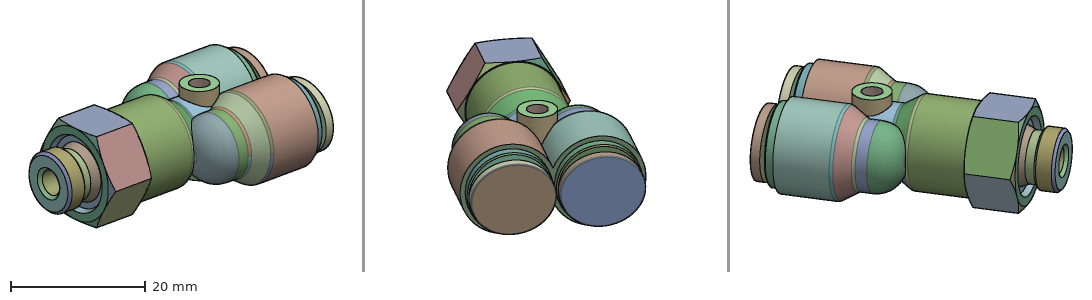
import cadquery as cq
import math


HEAD_DIA = 9.7
HEAD_CHAMFER = 0.45
HEAD_BACK_CHAMFER = 0.35
NECK_START_Y = 3.25
NECK_DIA = 8.2
FLARE_START_Y = 4.8
FLARE_DIA = 9.4
BORE_DIA = 4.0
BORE_CHAMFER = 0.55
HEX_SIDES = 6
HEX_ACROSS_FLATS = 15.0
HEX_FACE_Y = 5.3
HEX_TOP_Y = 13.25
HEX_CORNER_RISE = 0.45
RECESS_DIA = 12.25
RECESS_FLOOR_DIA = 11.45
RECESS_DEPTH = 1.0

BARREL_DIA = 14.7
STEM_DIA = 11.0
CONE_LENGTH = 2.9
CONE_FILLET = 1.0
INLET_CONE_Y = 22.35
PORT_OFFSET = 6.8
PORT_TOP_Y = 40.95
PORT_CONE_Y = 29.0
PORT_STEM_BOTTOM_Y = 22.4
PORT_BOTTOM_ROUND = 4.48
EYE_Y = 29.8
EYE_DIA = 6.0
EYE_HOLE_DIA = 3.2

COLLAR_DIA = 13.15
COLLAR_TOP_Y = 42.55
COLLAR_CHAMFER = 0.22

SLEEVE_NECK_DIA = 7.5
SLEEVE_FLANGE_Y = 43.25
SLEEVE_TOP_Y = 44.75
SLEEVE_FLANGE_WIDTH = 13.0
SLEEVE_FLANGE_HEIGHT = 11.55
SLEEVE_EDGE_ROUND = 0.15


def along_y(x, start_y):
    """Workplane normal to Y at (x, start_y); positive extrusion goes towards +Y."""
    return cq.Workplane(cq.Plane(origin=(x, start_y, 0), xDir=(1, 0, 0), normal=(0, 1, 0)))


def rod(x, start_y, end_y, diameter):
    return along_y(x, start_y).circle(diameter / 2).extrude(end_y - start_y)


def turned(profile):
    """Revolve a closed (radius, y) profile about the Y axis."""
    return cq.Workplane("XY").polyline(profile).close().revolve(360, (0, 0), (0, 1))


def fillet_ring(solid, y, radius):
    """Round the circular edge that is centred on the Y axis at height y."""
    return solid.edges(cq.NearestToPointSelector((0, y, 0))).fillet(radius)


def make_stud():
    """Hexagon with chamfered corners, and a bored spigot rising from a recess in its face."""
    flat_radius = HEX_ACROSS_FLATS / 2
    corner_radius = flat_radius / math.cos(math.pi / HEX_SIDES)
    hexagon = along_y(0, HEX_FACE_Y).polygon(HEX_SIDES, 2 * corner_radius).extrude(HEX_TOP_Y - HEX_FACE_Y)
    corner_cones = turned([
        (0, HEX_FACE_Y),
        (flat_radius, HEX_FACE_Y),
        (corner_radius, HEX_FACE_Y + HEX_CORNER_RISE),
        (corner_radius, HEX_TOP_Y - HEX_CORNER_RISE),
        (flat_radius, HEX_TOP_Y),
        (0, HEX_TOP_Y),
    ])
    recess_floor_y = HEX_FACE_Y + RECESS_DEPTH
    recess = turned([
        (0, HEX_FACE_Y),
        (RECESS_DIA / 2, HEX_FACE_Y),
        (RECESS_FLOOR_DIA / 2, recess_floor_y),
        (0, recess_floor_y),
    ])
    spigot = turned([
        (0, 0),
        (HEAD_DIA / 2 - HEAD_CHAMFER, 0),
        (HEAD_DIA / 2, HEAD_CHAMFER),
        (HEAD_DIA / 2, NECK_START_Y - HEAD_BACK_CHAMFER),
        (HEAD_DIA / 2 - HEAD_BACK_CHAMFER, NECK_START_Y),
        (NECK_DIA / 2, NECK_START_Y),
        (NECK_DIA / 2, FLARE_START_Y),
        (FLARE_DIA / 2, recess_floor_y),
        (0, recess_floor_y),
    ])
    bore = turned([
        (0, 0),
        (BORE_DIA / 2 + BORE_CHAMFER, 0),
        (BORE_DIA / 2, BORE_CHAMFER),
        (BORE_DIA / 2, HEX_TOP_Y),
        (0, HEX_TOP_Y),
    ])
    return hexagon.intersect(corner_cones).cut(recess).union(spigot).cut(bore)


def make_inlet():
    """Barrel above the hexagon, narrowing to the stem that runs up to the eye."""
    stem_start_y = INLET_CONE_Y + CONE_LENGTH
    inlet = turned([
        (0, HEX_TOP_Y),
        (BARREL_DIA / 2, HEX_TOP_Y),
        (BARREL_DIA / 2, INLET_CONE_Y),
        (STEM_DIA / 2, stem_start_y),
        (STEM_DIA / 2, EYE_Y),
        (0, EYE_Y),
    ])
    inlet = fillet_ring(inlet, INLET_CONE_Y, CONE_FILLET)
    return fillet_ring(inlet, stem_start_y, CONE_FILLET)


def make_port(x):
    """Port barrel with a conical step down to a round-bottomed stem."""
    barrel_start_y = PORT_CONE_Y + CONE_LENGTH
    port = turned([
        (0, PORT_STEM_BOTTOM_Y),
        (STEM_DIA / 2, PORT_STEM_BOTTOM_Y),
        (STEM_DIA / 2, PORT_CONE_Y),
        (BARREL_DIA / 2, barrel_start_y),
        (BARREL_DIA / 2, PORT_TOP_Y),
        (0, PORT_TOP_Y),
    ])
    port = fillet_ring(port, PORT_STEM_BOTTOM_Y, PORT_BOTTOM_ROUND)
    port = fillet_ring(port, PORT_CONE_Y, CONE_FILLET)
    port = fillet_ring(port, barrel_start_y, CONE_FILLET)
    return port.translate((x, 0, 0))


def make_body():
    eye_plane = cq.Workplane("XY", origin=(0, EYE_Y, 0))
    eye = eye_plane.circle(EYE_DIA / 2).extrude(BARREL_DIA / 2, both=True)
    eye_hole = eye_plane.circle(EYE_HOLE_DIA / 2).extrude(BARREL_DIA, both=True)
    body = make_inlet().union(eye)
    for x in (-PORT_OFFSET, PORT_OFFSET):
        body = body.union(make_port(x))
    return body.cut(eye_hole)


def make_collar(x):
    collar = rod(x, PORT_TOP_Y, COLLAR_TOP_Y, COLLAR_DIA)
    return collar.faces(">Y").edges().chamfer(COLLAR_CHAMFER)


def make_sleeve(x):
    """Release sleeve: round neck on the collar with an oval flange on top."""
    flange = (
        along_y(x, SLEEVE_FLANGE_Y)
        .ellipse(SLEEVE_FLANGE_WIDTH / 2, SLEEVE_FLANGE_HEIGHT / 2)
        .extrude(SLEEVE_TOP_Y - SLEEVE_FLANGE_Y)
        .faces(">Y")
        .edges()
        .fillet(SLEEVE_EDGE_ROUND)
    )
    return flange.union(rod(x, COLLAR_TOP_Y, SLEEVE_FLANGE_Y, SLEEVE_NECK_DIA))


stud = make_stud()
body = make_body()
bodies = [stud.val(), body.val()]
for port_x in (-PORT_OFFSET, PORT_OFFSET):
    bodies.append(make_collar(port_x).val())
    bodies.append(make_sleeve(port_x).val())

result = cq.Compound.makeCompound(bodies)